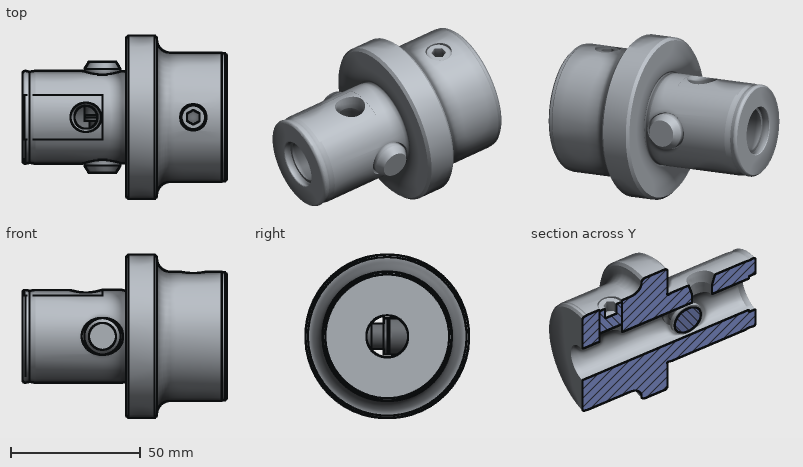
import cadquery as cq
import math

total_length = 79.0

shank_length = 40.0
shank_radius = 18.0
shank_end_radius = 17.15
lead_in_crest_x = 1.3
lead_in_crest_depth = 0.04
lead_in_valley_x = 2.8
lead_in_valley_depth = 0.4
lead_in_end_x = 5.05
undercut_width = 1.65
undercut_floor_length = 1.3
undercut_depth = 0.3
undercut_face_depth = 0.2
undercut_corner_radius = 0.5
undercut_outer_radius = 18.6

flange_diameter = 63.3
flange_radius = flange_diameter / 2
flange_width = 12.0
flange_chamfer = 1.0
body_diameter = 50.0
body_radius = body_diameter / 2
body_fillet = 5.0
spigot_x = 76.8
spigot_step = 0.2
spigot_step_length = 0.3
end_chamfer = 0.9

bore_radius = 8.05
counterbore_radius = 9.25
counterbore_depth = 3.0
counterbore_chamfer = 0.2

relief_end_x = 30.9
relief_half_width = 8.6
relief_depth = 0.12
relief_radius = shank_radius - relief_depth
access_hole_x = 24.5
access_hole_radius = 4.4
access_mouth_radius = 5.9
access_taper_angle = 16.0

pin_x = 30.9
pin_radius = 7.0
pin_half_length = 21.5
pin_tip_radius = 5.2
pin_tip_length = 2.9
waist_radius = 5.0
waist_start_y = -6.2
waist_end_y = -1.4
pin_countersink_depth = 1.7
pin_countersink_angle = 30.0

seal_diameter = 0.95
seal_y = 0.5

screw_x = 66.0
screw_radius = 5.05
screw_length = 12.0
screw_top_z = 24.25
screw_chamfer = 0.5
socket_across_flats = 4.9
socket_depth = 5.0


def cylinder_along(plane, x, radius, start, length):
    """Cylinder whose axis is the plane's normal, standing at the given X position."""
    return cq.Workplane(plane, origin=(x, 0, 0)).workplane(offset=start).circle(radius).extrude(length)


def turned_blank():
    """Shank, flange and body, revolved about X."""
    lead_in_crest_radius = shank_radius - lead_in_crest_depth
    lead_in_valley_radius = shank_radius - lead_in_valley_depth
    lead_in_rise = lead_in_crest_radius - shank_end_radius
    lead_in_arc = (lead_in_crest_x**2 + lead_in_rise**2) / (2 * lead_in_rise)
    undercut_x = shank_length - undercut_width
    undercut_bottom = shank_radius - undercut_depth
    undercut_arc_start_x = undercut_x + undercut_floor_length
    undercut_face_x = shank_length + undercut_face_depth
    flange_end = shank_length + flange_width
    spigot_radius = body_radius - spigot_step
    return (
        cq.Workplane("XZ")
        .moveTo(0, 0)
        .lineTo(0, shank_end_radius)
        .radiusArc((lead_in_crest_x, lead_in_crest_radius), lead_in_arc)
        .lineTo(lead_in_valley_x, lead_in_valley_radius)
        .lineTo(lead_in_end_x, shank_radius)
        .lineTo(undercut_x, shank_radius)
        .lineTo(undercut_arc_start_x, undercut_bottom)
        .radiusArc((undercut_face_x, shank_radius), -undercut_corner_radius)
        .lineTo(shank_length, undercut_outer_radius)
        .lineTo(shank_length, flange_radius - flange_chamfer)
        .lineTo(shank_length + flange_chamfer, flange_radius)
        .lineTo(flange_end - flange_chamfer, flange_radius)
        .lineTo(flange_end, flange_radius - flange_chamfer)
        .lineTo(flange_end, body_radius + body_fillet)
        .radiusArc((flange_end + body_fillet, body_radius), -body_fillet)
        .lineTo(spigot_x, body_radius)
        .lineTo(spigot_x + spigot_step_length, spigot_radius)
        .lineTo(total_length - end_chamfer, spigot_radius)
        .lineTo(total_length, spigot_radius - end_chamfer)
        .lineTo(total_length, 0)
        .close()
        .revolve(360, (0, 0, 0), (1, 0, 0))
    )


def central_bore():
    """Through bore with a chamfered counterbore at the shank end."""
    mouth_radius = counterbore_radius + counterbore_chamfer
    return (
        cq.Workplane("XZ")
        .moveTo(0, 0)
        .lineTo(0, mouth_radius)
        .lineTo(counterbore_chamfer, counterbore_radius)
        .lineTo(counterbore_depth, counterbore_radius)
        .lineTo(counterbore_depth, bore_radius)
        .lineTo(total_length, bore_radius)
        .lineTo(total_length, 0)
        .close()
        .revolve(360, (0, 0, 0), (1, 0, 0))
    )


def shank_relief():
    """Everything outside the relief radius, within the relief's length and width on the top side."""
    strip = cq.Workplane("XY").box(
        relief_end_x, 2 * relief_half_width, flange_radius, centered=(False, True, False)
    )
    return strip.cut(cylinder_along("YZ", 0, relief_radius, 0, relief_end_x))


def access_hole():
    """Hole from the top of the shank into the bore, its mouth tapered."""
    taper_slope = math.tan(math.radians(access_taper_angle))
    taper_bottom_z = relief_radius - (access_mouth_radius - access_hole_radius) / taper_slope
    top_radius = access_hole_radius + (flange_radius - taper_bottom_z) * taper_slope
    return (
        cq.Workplane("XZ", origin=(access_hole_x, 0, 0))
        .moveTo(0, 0)
        .lineTo(access_hole_radius, 0)
        .lineTo(access_hole_radius, taper_bottom_z)
        .lineTo(top_radius, flange_radius)
        .lineTo(0, flange_radius)
        .close()
        .revolve(360, (0, 0, 0), (0, 1, 0))
    )


def pin_hole():
    """Cross hole along Y, countersunk at both mouths."""
    countersink_start = shank_radius - pin_countersink_depth
    countersink_slope = math.tan(math.radians(pin_countersink_angle))
    mouth_radius = pin_radius + pin_countersink_depth * countersink_slope
    return (
        cq.Workplane("XY", origin=(pin_x, 0, 0))
        .moveTo(0, -shank_radius)
        .lineTo(mouth_radius, -shank_radius)
        .lineTo(pin_radius, -countersink_start)
        .lineTo(pin_radius, countersink_start)
        .lineTo(mouth_radius, shank_radius)
        .lineTo(0, shank_radius)
        .close()
        .revolve(360, (0, 0, 0), (0, 1, 0))
    )


def make_housing():
    screw_hole = cylinder_along("XY", screw_x, screw_radius, 0, flange_radius)
    housing = turned_blank()
    for cutter in (central_bore(), shank_relief(), access_hole(), pin_hole(), screw_hole):
        housing = housing.cut(cutter)
    return housing


def make_cross_pin():
    """Pin with conical tips, an offset waist and a groove for the sealing ring."""
    groove_start = seal_y - seal_diameter / 2
    groove_end = seal_y + seal_diameter / 2
    groove_radius = pin_radius - seal_diameter
    cone_start = pin_half_length - pin_tip_length
    return (
        cq.Workplane("XY", origin=(pin_x, 0, 0))
        .moveTo(0, -pin_half_length)
        .lineTo(pin_tip_radius, -pin_half_length)
        .lineTo(pin_radius, -cone_start)
        .lineTo(pin_radius, waist_start_y)
        .lineTo(waist_radius, waist_start_y)
        .lineTo(waist_radius, waist_end_y)
        .lineTo(pin_radius, waist_end_y)
        .lineTo(pin_radius, groove_start)
        .lineTo(groove_radius, groove_start)
        .lineTo(groove_radius, groove_end)
        .lineTo(pin_radius, groove_end)
        .lineTo(pin_radius, cone_start)
        .lineTo(pin_tip_radius, pin_half_length)
        .lineTo(0, pin_half_length)
        .close()
        .revolve(360, (0, 0, 0), (0, 1, 0))
    )


def make_sealing_ring():
    """Round ring that fills the pin's groove up to the pin's surface."""
    return (
        cq.Workplane("XY", origin=(pin_x, 0, 0))
        .center(pin_radius - seal_diameter / 2, seal_y)
        .circle(seal_diameter / 2)
        .revolve(360, (seal_diameter / 2 - pin_radius, 0, 0), (seal_diameter / 2 - pin_radius, 1, 0))
    )


def make_clamping_screw():
    """Headless screw with a hexagon socket whose corners point along Y."""
    socket_across_corners = socket_across_flats / math.cos(math.pi / 6)
    screw = cylinder_along("XY", screw_x, screw_radius, screw_top_z, -screw_length)
    screw = screw.faces(">Z").chamfer(screw_chamfer)
    socket = (
        cq.Workplane("XY", origin=(screw_x, 0, screw_top_z))
        .transformed(rotate=(0, 0, 90))
        .polygon(6, socket_across_corners)
        .extrude(-socket_depth)
    )
    return screw.cut(socket)


housing = make_housing()
cross_pin = make_cross_pin()
sealing_ring = make_sealing_ring()
clamping_screw = make_clamping_screw()

result = cq.Compound.makeCompound(
    [housing.val(), cross_pin.val(), sealing_ring.val(), clamping_screw.val()]
)